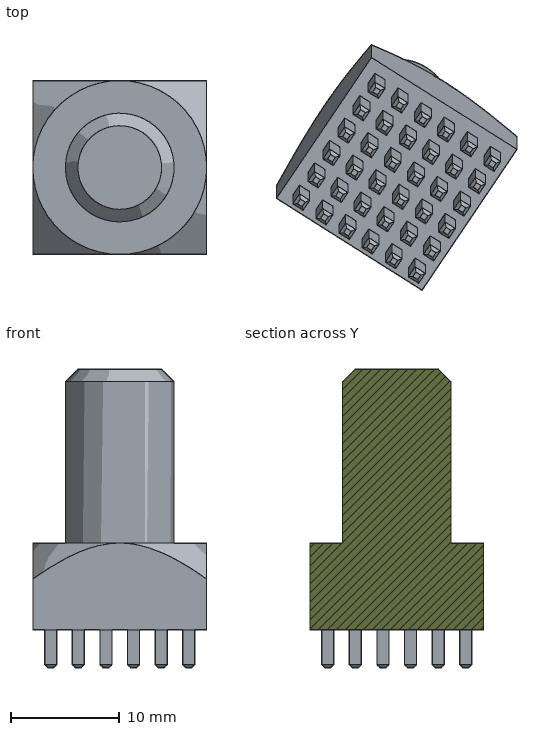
import cadquery as cq

total_height = 27.5
base_width = 16.0
base_height = base_width / 2
stud_diameter = 10.0
stud_chamfer = 1.15

pins_per_side = 6
pin_row_span = 12.7
pin_pitch = pin_row_span / (pins_per_side - 1)
pin_width = 1.13
pin_length = 3.5
pin_chamfer = 0.3

stud_height = total_height - base_height - pin_length


def make_base():
    """Square block, underside at Z = 0, with its upper corners turned off by a 45 degree cone."""
    block = cq.Workplane("XY").box(base_width, base_width, base_height, centered=(True, True, False))
    top_radius = base_width / 2
    turned_envelope = (
        cq.Workplane("XZ")
        .moveTo(0, 0)
        .lineTo(top_radius + base_height, 0)
        .lineTo(top_radius, base_height)
        .lineTo(0, base_height)
        .close()
        .revolve(360, (0, 0, 0), (0, 1, 0))
    )
    return block.intersect(turned_envelope)


def make_stud():
    """Round stud standing on the base, with a chamfered tip."""
    return (
        cq.Workplane("XY")
        .workplane(offset=base_height)
        .circle(stud_diameter / 2)
        .extrude(stud_height)
        .faces(">Z")
        .chamfer(stud_chamfer)
    )


def make_pins():
    """Square grid of pins hanging below the base, each with a chamfered tip."""
    return (
        cq.Workplane("XY")
        .rarray(pin_pitch, pin_pitch, pins_per_side, pins_per_side)
        .rect(pin_width, pin_width)
        .extrude(-pin_length)
        .faces("<Z")
        .chamfer(pin_chamfer)
    )


result = make_base().union(make_stud()).union(make_pins())